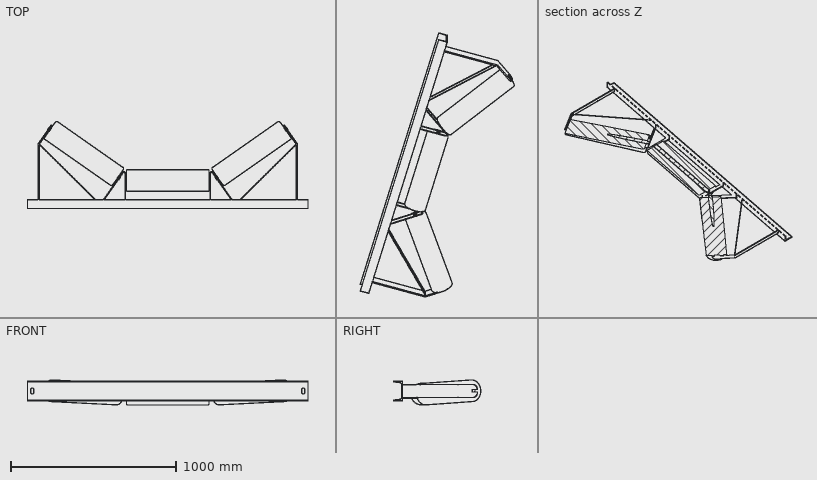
import cadquery as cq
import math


SIDES = (-1, 1)

channel_length = 1700.0
channel_height = 119.0
flange_depth = 55.0
web_thickness = 7.0
flange_root_thickness = 11.0
flange_tip_thickness = 5.0
root_radius = 10.0
mount_slot_width = 17.0
mount_slot_length = 35.0
mount_slot_inset = 30.0

trough_angle = math.radians(35)
roller_length = 500.0
roller_diameter = 133.0
roller_edge_radius = 7.0
centre_roller_y = 115.0
centre_roller_z = -19.0
wing_roller_x = 507.0
wing_roller_y = 279.0
wing_outer_z = 2.0
wing_inner_z = centre_roller_z
wing_tilt = math.asin((wing_outer_z - wing_inner_z) / roller_length)

post_x = 785.0
post_height = 337.0
post_thickness = 8.0
post_width = 76.0
leg_length = 141.0
leg_corner_radius = 25.0
bend_radius = 8.0
brace_thickness = 3.0
brace_width = 45.0
brace_foot_x = 437.0

fold_inner_x = 255.0
fold_foot_x = 390.0
fold_thickness = 5.0
fold_radius = 10.0
fold_width = 51.0

shaft_diameter = 20.0
shaft_flat_width = 15.0
wing_shaft_overhang = 14.0
centre_shaft_overhang = fold_inner_x + fold_thickness - roller_length / 2


def make_channel():
    """C channel with tapered flanges pointing to -Y and a slot near each end."""
    half = channel_height / 2
    section = (
        cq.Workplane("YZ", origin=(-channel_length / 2, 0, 0))
        .polyline([
            (0, -half),
            (-flange_depth, -half),
            (-flange_depth, -half + flange_tip_thickness),
            (-web_thickness, -half + flange_root_thickness),
            (-web_thickness, half - flange_root_thickness),
            (-flange_depth, half - flange_tip_thickness),
            (-flange_depth, half),
            (0, half),
        ])
        .close()
        .extrude(channel_length)
    )
    section = section.edges("|X and (not <Y) and (not >Y)").fillet(root_radius)
    slot_x = channel_length / 2 - mount_slot_inset
    slots = (
        cq.Workplane("XZ")
        .pushPoints([(side * slot_x, 0) for side in SIDES])
        .slot2D(mount_slot_length, mount_slot_width, 90)
        .extrude(web_thickness)
    )
    return section.cut(slots)


def make_outer_bracket(side):
    """Post with its upper leg bent inward by the trough angle, plus the brace."""
    post = (
        cq.Workplane("XY")
        .box(post_thickness, post_height, post_width, centered=(True, False, True))
        .translate((side * (post_x - post_thickness / 2), 0, 0))
    )
    leg_plane = cq.Plane(
        origin=(side * post_x, post_height, 0),
        xDir=(-side * math.sin(trough_angle), math.cos(trough_angle), 0),
        normal=(-side * math.cos(trough_angle), -math.sin(trough_angle), 0),
    )
    leg_outline = (
        cq.Sketch()
        .push([(leg_length / 2, 0)])
        .rect(leg_length, post_width)
        .reset()
        .vertices(">X")
        .fillet(leg_corner_radius)
    )
    leg = cq.Workplane(leg_plane).placeSketch(leg_outline).extrude(post_thickness)

    brace_top_x = post_x - post_thickness
    brace_angle = math.atan2(post_height, brace_top_x - brace_foot_x)
    brace_run = brace_thickness / math.sin(brace_angle)
    brace_drop = brace_thickness / math.cos(brace_angle)
    brace = (
        cq.Workplane("XY", origin=(0, 0, -brace_width / 2))
        .polyline([
            (side * brace_foot_x, 0),
            (side * brace_top_x, post_height),
            (side * brace_top_x, post_height - brace_drop),
            (side * (brace_foot_x + brace_run), 0),
        ])
        .close()
        .extrude(brace_width)
    )
    outer_corner = cq.selectors.NearestToPointSelector((side * post_x, post_height, 0))
    return post.union(leg).edges(outer_corner).fillet(bend_radius).union(brace)


def fold_wedge(side, inner_x, foot_x, radius):
    """Wedge with one upright face, one face at the trough angle and a round peak."""
    peak_y = (foot_x - inner_x) / math.tan(trough_angle)
    return (
        cq.Workplane("XY", origin=(0, 0, centre_roller_z - fold_width / 2))
        .polyline([(side * inner_x, 0), (side * inner_x, peak_y), (side * foot_x, 0)])
        .close()
        .extrude(fold_width)
        .edges("|Z and >Y")
        .fillet(radius)
    )


def make_inner_bracket(side):
    """Folded plate: the wedge hollowed by a smaller one, one thickness inside."""
    outside = fold_wedge(side, fold_inner_x, fold_foot_x, fold_radius)
    inside = fold_wedge(
        side,
        fold_inner_x + fold_thickness,
        fold_foot_x - fold_thickness / math.cos(trough_angle),
        fold_radius - fold_thickness,
    )
    return outside.cut(inside)


def wing_plane(side):
    """Mid-plane of a wing roller: normal along its axis, inward; local X upward."""
    level = math.cos(wing_tilt)
    return cq.Plane(
        origin=(side * wing_roller_x, wing_roller_y, (wing_outer_z + wing_inner_z) / 2),
        xDir=(-side * math.sin(trough_angle), math.cos(trough_angle), 0),
        normal=(
            -side * math.cos(trough_angle) * level,
            -math.sin(trough_angle) * level,
            -math.sin(wing_tilt),
        ),
    )


def centred_bar(plane, diameter, length):
    """Round bar along the plane's normal, centred on the plane."""
    return cq.Workplane(plane).workplane(offset=-length / 2).circle(diameter / 2).extrude(length)


def make_shaft(plane, overhang):
    """Round bar whose ends beyond the roller carry two flats."""
    length = roller_length + 2 * overhang
    flats = (
        cq.Workplane(plane)
        .workplane(offset=-length / 2)
        .rect(shaft_diameter, shaft_flat_width)
        .extrude(length)
    )
    flattened = centred_bar(plane, shaft_diameter, length).intersect(flats)
    return flattened.union(centred_bar(plane, shaft_diameter, roller_length))


def make_roller(plane):
    """Cylinder with rounded end edges, bored for its shaft."""
    drum = centred_bar(plane, roller_diameter, roller_length)
    drum = drum.faces("%PLANE").edges().fillet(roller_edge_radius)
    return drum.cut(centred_bar(plane, shaft_diameter, roller_length))


def leg_slot(side):
    """Open slot that lets a wing shaft drop into its outer bracket leg."""
    return (
        cq.Workplane(wing_plane(side))
        .workplane(offset=-roller_length / 2 - 2 * wing_shaft_overhang)
        .center(leg_length / 2, 0)
        .rect(leg_length, shaft_flat_width)
        .extrude(2 * wing_shaft_overhang)
    )


centre_plane = cq.Plane(
    origin=(0, centre_roller_y, centre_roller_z), xDir=(0, 1, 0), normal=(1, 0, 0)
)
wing_planes = [wing_plane(side) for side in SIDES]
rollers = [make_roller(plane) for plane in [centre_plane] + wing_planes]
shafts = [make_shaft(centre_plane, centre_shaft_overhang)]
shafts += [make_shaft(plane, wing_shaft_overhang) for plane in wing_planes]

frame = make_channel()
for side in SIDES:
    frame = frame.union(make_outer_bracket(side)).union(make_inner_bracket(side))
    frame = frame.cut(leg_slot(side))
for shaft in shafts:
    frame = frame.cut(shaft)

result = cq.Compound.makeCompound(
    [frame.solids().val()]
    + [roller.val() for roller in rollers]
    + [shaft.val() for shaft in shafts]
)